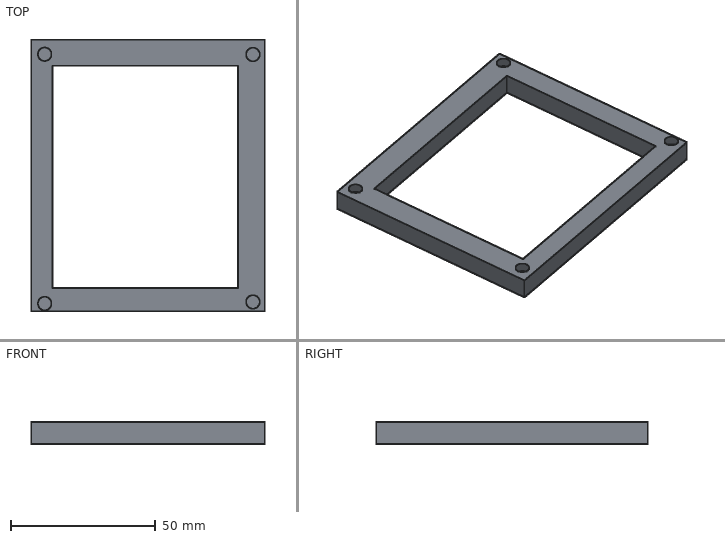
import cadquery as cq

width = 80.9
length = 94.1
thickness = 7.6

left_rail = 7.4
right_rail = 9.3
front_rail = 8.2
back_rail = 9.1

hole_diameter = 4.7
hole_depth = 3.3
left_hole_inset = 4.7
right_hole_inset = 4.1
front_left_hole_inset = 2.7
front_right_hole_inset = 3.3
back_left_hole_inset = 5.1
back_right_hole_inset = 5.2

hole_centres = [
    (left_hole_inset, front_left_hole_inset),
    (width - right_hole_inset, front_right_hole_inset),
    (left_hole_inset, length - back_left_hole_inset),
    (width - right_hole_inset, length - back_right_hole_inset),
]


def make_frame():
    """Rectangular plate with a window cut right through it."""
    plate = cq.Workplane("XY").box(width, length, thickness, centered=False)
    window_width = width - left_rail - right_rail
    window_length = length - front_rail - back_rail
    window = (
        cq.Workplane("XY")
        .box(window_width, window_length, thickness, centered=False)
        .translate((left_rail, front_rail, 0))
    )
    return plate.cut(window)


def make_corner_holes():
    """Flat-bottomed cylinders sunk from the top face."""
    return (
        cq.Workplane("XY")
        .workplane(offset=thickness - hole_depth)
        .pushPoints(hole_centres)
        .circle(hole_diameter / 2)
        .extrude(hole_depth)
    )


result = make_frame().cut(make_corner_holes())